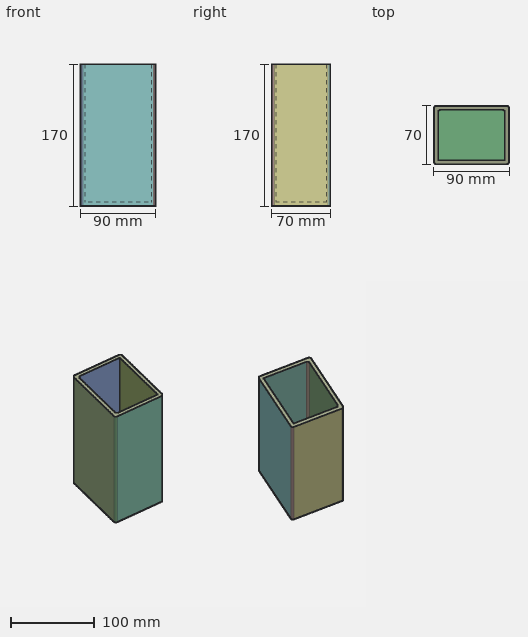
import cadquery as cq

width = 90.0
depth = 70.0
height = 170.0
corner_radius = 2.9

wall = 5.0
floor_thickness = wall

body = cq.Workplane("XY").box(width, depth, height, centered=(True, True, False))
body = body.edges("|Z").fillet(corner_radius)

cavity = (
    cq.Workplane("XY")
    .workplane(offset=floor_thickness)
    .rect(width - 2 * wall, depth - 2 * wall)
    .extrude(height - floor_thickness)
)
cavity = cavity.edges("|Z and >Y").fillet(corner_radius)

result = body.cut(cavity)